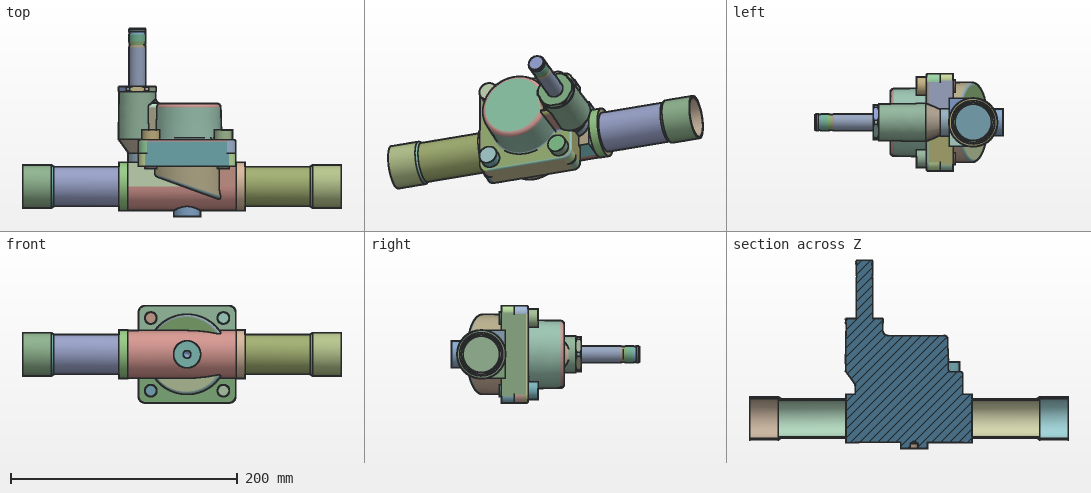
import cadquery as cq
import math


length = 281.0
pipe_diameter = 35.0
socket_diameter = 38.2
socket_length = 25.3
socket_taper = 2.2
socket_bore = 35.0
pipe_bore = 32.0

body_width = 42.5
body_length = 95.5
collar_diameter = 43.0
collar_length = 8.0

seat_x = 4.5
plate_side = 86.0
flange_bottom = 17.7
flange_top = 29.2
cover_top = 41.3
flange_corner_radius = 6.0
cover_corner_radius = 7.5
cover_edge_radius = 1.7

chamber_radius = 35.5
floor_angle = 20.0
floor_height = -1.0
floor_edge_radius = 2.5

dome_radius = 30.5
dome_top = 73.3
dome_edge_radius = 3.7
dome_draft = 1.5
dome_base_radius = 1.7

bolt_spacing = 64.0
bolt_head_diameter = 16.0
bolt_head_height = 8.7
bolt_shank_diameter = 10.7
bolt_end_length = 2.0
bolt_end_chamfer = 0.3

tower_x = -39.3
tower_top_diameter = 32.5
tower_bottom_diameter = 33.7
tower_bottom = 42.0
tower_top = 83.5
neck_diameter = 25.3
cone_end_diameter = 24.0
neck_x = neck_diameter / 2 - body_length / 2
web_width = 27.0
web_start_x = -32.3
web_blend_radius = 4.5

hex_flats = 30.5
hex_corners = 33.5
hex_height = 4.8
hex_chamfer = 0.8
hex_top = tower_top + hex_height
tube_diameter = 15.0
groove_diameter = 13.5
tube_top = 139.7
tube_chamfer = 1.5
lip_length = 3.0
clip_groove_width = 2.5
seal_groove_top = 127.9
seal_groove_middle = 125.0
seal_groove_bottom = 122.8
seal_groove_diameter = 14.0

boss_diameter = 24.0
boss_bottom = -26.5
boss_hole_diameter = 6.7
boss_hole_depth = 4.2
drill_tip_angle = 118.0


def level(height, x=seat_x):
    """Workplane facing +Y at the given height, centred on x; local X is X, local Y is -Z."""
    return cq.Workplane("XZ", origin=(x, height, 0)).transformed(rotate=(180, 0, 0))


def post(x, bottom, top, diameter):
    return level(bottom, x).circle(diameter / 2).extrude(top - bottom)


def x_cylinder(start, end, diameter):
    return cq.Workplane("YZ", origin=(start, 0, 0)).circle(diameter / 2).extrude(end - start)


def make_pipe():
    """Turned pipe with an expanded socket at each end."""
    end = length / 2
    pipe_radius = pipe_diameter / 2
    socket_radius = socket_diameter / 2
    socket_start = end - socket_length
    taper_start = socket_start - socket_taper
    return (
        cq.Workplane("XY")
        .moveTo(-end, 0)
        .lineTo(-end, socket_radius)
        .lineTo(-socket_start, socket_radius)
        .lineTo(-taper_start, pipe_radius)
        .lineTo(taper_start, pipe_radius)
        .lineTo(socket_start, socket_radius)
        .lineTo(end, socket_radius)
        .lineTo(end, 0)
        .close()
        .revolve(360, (0, 0, 0), (1, 0, 0))
    )


def cut_pipe_bores(part):
    """Open both pipe ends: a wide socket, then the pipe bore up to the collar."""
    bore_end = body_length / 2 + collar_length
    for side in (-1, 1):
        end = side * length / 2
        part = part.cut(x_cylinder(end, end - side * socket_length, socket_bore))
        part = part.cut(x_cylinder(end, side * bore_end, pipe_bore))
    return part


def make_body():
    """Body with a round bottom and a flat top, between two round collars."""
    half_collared = body_length / 2 + collar_length
    collars = x_cylinder(-half_collared, half_collared, collar_diameter)
    half_length = body_length / 2
    collars = collars.cut(x_cylinder(-half_length, half_length, collar_diameter))
    barrel = x_cylinder(-half_length, half_length, body_width)
    top_block = cq.Workplane("XY").box(body_length, body_width / 2, body_width, centered=(True, False, True))
    return barrel.union(top_block).union(collars)


def make_chamber():
    """Round chamber cut off by a floor that slopes down towards +X."""
    depth = 2 * chamber_radius
    chamber = post(seat_x, flange_bottom - depth, flange_bottom, 2 * chamber_radius)
    below_floor = (
        cq.Workplane("XY")
        .box(4 * depth, 2 * depth, 4 * depth)
        .translate((0, -depth, 0))
        .rotate((0, 0, 0), (0, 0, 1), -floor_angle)
        .translate((seat_x, floor_height, 0))
    )
    return chamber.cut(below_floor).faces("<Y").edges().fillet(floor_edge_radius)


def make_plate(bottom, top, corner_radius):
    return level(bottom).rect(plate_side, plate_side).extrude(top - bottom).edges("|Y").fillet(corner_radius)


def make_cover():
    """Flange and cover, with a drafted dome and a web reaching towards the tower."""
    flange = make_plate(flange_bottom, flange_top, flange_corner_radius)
    cover = make_plate(flange_top, cover_top, cover_corner_radius).faces(">Y").edges().fillet(cover_edge_radius)
    dome = level(cover_top).circle(dome_radius).extrude(dome_top - cover_top, taper=dome_draft)
    web_length = seat_x - web_start_x
    web = level(cover_top, web_start_x + web_length / 2).rect(web_length, web_width)
    web = web.extrude(dome_top - cover_top)
    dome = dome.union(web).faces(">Y").edges().fillet(dome_edge_radius)
    reach = dome_radius + dome_base_radius
    slack = 0.3
    dome_base = cq.selectors.BoxSelector(
        (web_start_x - slack, cover_top - slack, -reach),
        (seat_x + reach, cover_top + slack, reach),
    )
    cover = cover.union(dome).edges(dome_base).fillet(dome_base_radius)
    return flange.union(cover)


def make_bolt(x, z):
    head = post(x, cover_top, cover_top + bolt_head_height, bolt_head_diameter)
    end = post(x, flange_bottom - bolt_end_length, cover_top, bolt_shank_diameter)
    end = end.faces("<Y").chamfer(bolt_end_chamfer)
    return head.union(end).translate((0, 0, z))


def add_tower(cover):
    """Join the tapered pilot tower to the cover and blend it into the web."""
    tower = (
        level(tower_bottom, tower_x)
        .circle(tower_bottom_diameter / 2)
        .workplane(offset=tower_top - tower_bottom)
        .circle(tower_top_diameter / 2)
        .loft()
    )
    return cover.union(tower).union(make_web_blend())


def make_web_blend():
    """Concave blend between the web top and the tower, fading out towards the web's rounded edges."""
    tower_radius = tower_top_diameter / 2
    inner = tower_radius - web_blend_radius
    outer = tower_radius + web_blend_radius
    blend_top = dome_top + web_blend_radius
    arc_inset = web_blend_radius * (1 - math.sqrt(0.5))
    ring = (
        cq.Workplane("XY")
        .moveTo(inner, dome_top)
        .lineTo(outer, dome_top)
        .threePointArc((tower_radius + arc_inset, dome_top + arc_inset), (tower_radius, blend_top))
        .lineTo(inner, blend_top)
        .close()
        .revolve(360, (0, 0, 0), (0, 1, 0))
        .translate((tower_x, 0, 0))
    )
    half_width = web_width / 2
    arch = (
        cq.Workplane("YZ", origin=(tower_x, 0, 0))
        .moveTo(dome_top - dome_edge_radius, -half_width)
        .threePointArc((blend_top, 0), (dome_top - dome_edge_radius, half_width))
        .close()
        .extrude(outer)
    )
    return ring.intersect(arch)


def make_neck():
    """Skewed cone and straight neck carrying the tower on the body."""
    cone = (
        level(flange_top, neck_x)
        .circle(cone_end_diameter / 2)
        .workplane(offset=tower_bottom - flange_top)
        .center(tower_x - neck_x, 0)
        .circle(tower_bottom_diameter / 2)
        .loft()
    )
    return cone.union(post(neck_x, 0, flange_top, neck_diameter))


def make_hexagon():
    """Hexagon with corners on X, its corners turned down to a chamfered round."""
    corner_circle = hex_flats / math.cos(math.radians(30))
    hexagon = level(tower_top, tower_x).polygon(6, corner_circle).extrude(hex_height)
    turned = post(tower_x, tower_top, hex_top, hex_corners).edges().chamfer(hex_chamfer)
    return hexagon.intersect(turned)


def make_tube():
    """Turned armature tube with a clip groove and a shallow seal groove."""
    radius = tube_diameter / 2
    groove_radius = groove_diameter / 2
    lip_bottom = tube_top - lip_length
    profile = (
        cq.Workplane("XY")
        .moveTo(0, tower_top)
        .lineTo(radius, tower_top)
        .lineTo(radius, seal_groove_bottom)
        .lineTo(seal_groove_diameter / 2, seal_groove_middle)
        .lineTo(radius, seal_groove_top)
        .lineTo(radius, lip_bottom - clip_groove_width)
        .lineTo(groove_radius, lip_bottom)
        .lineTo(radius, lip_bottom)
        .lineTo(radius, tube_top - tube_chamfer)
        .lineTo(groove_radius, tube_top)
        .lineTo(0, tube_top)
        .close()
    )
    return profile.revolve(360, (0, 0, 0), (0, 1, 0)).translate((tower_x, 0, 0))


def make_boss_hole():
    """Blind drilled hole with a conical tip, entering from below."""
    radius = boss_hole_diameter / 2
    hole_top = boss_bottom + boss_hole_depth
    tip = hole_top + radius / math.tan(math.radians(drill_tip_angle / 2))
    profile = (
        cq.Workplane("XY")
        .moveTo(0, boss_bottom)
        .lineTo(radius, boss_bottom)
        .lineTo(radius, hole_top)
        .lineTo(0, tip)
        .close()
    )
    return profile.revolve(360, (0, 0, 0), (0, 1, 0)).translate((seat_x, 0, 0))


result = make_pipe().union(make_body()).union(make_chamber()).union(add_tower(make_cover()))
result = result.union(make_neck())
result = result.union(make_hexagon()).union(make_tube())
result = result.union(post(seat_x, boss_bottom, 0, boss_diameter)).cut(make_boss_hole())
for side_x in (-1, 1):
    for side_z in (-1, 1):
        bolt_x = seat_x + side_x * bolt_spacing / 2
        bolt_z = side_z * bolt_spacing / 2
        result = result.union(make_bolt(bolt_x, bolt_z))
result = cut_pipe_bores(result)